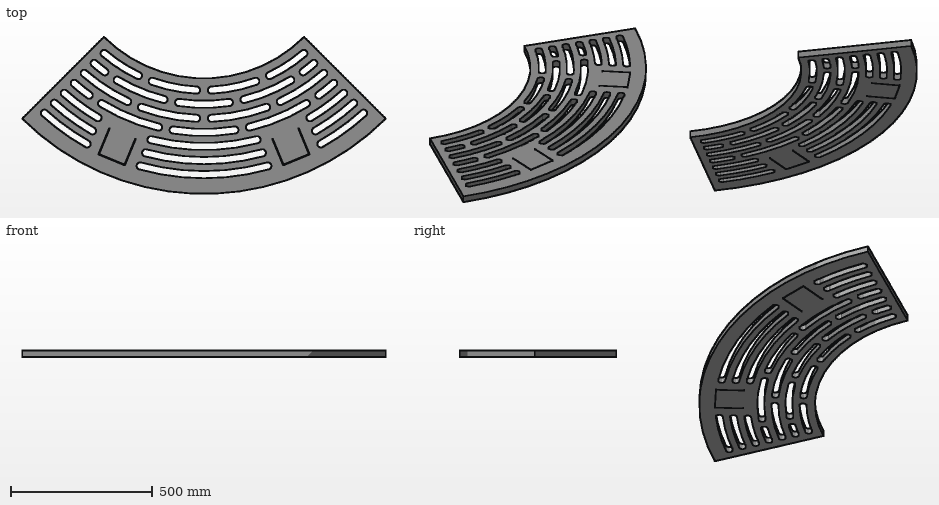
import cadquery as cq
import math

outer_width = 1287.0
thickness = 25.0
half_sector = 45.0
outer_radius = outer_width / 2 / math.sin(math.radians(half_sector))
inner_radius = 500.0

row_count = 7
first_row_radius = 543.0
last_row_radius = 842.0
row_pitch = (last_row_radius - first_row_radius) / (row_count - 1)
slot_width = 25.0
edge_margin = 30.0
web_width = 28.0
web_pitch = half_sector / 2

pad_gap = 179.0
pad_size = 100.0
slit_width = 1.0
pad_angle = half_sector / 2
first_pad_row = 4

pad_outer_radius = last_row_radius + slot_width / 2


def polar(radius, angle):
    """Point at an angle in degrees, measured from -Y and positive toward +X."""
    turn = math.radians(angle)
    return (radius * math.sin(turn), -radius * math.cos(turn))


def make_plate():
    return (
        cq.Workplane("XY")
        .moveTo(*polar(outer_radius, -half_sector))
        .threePointArc(polar(outer_radius, 0), polar(outer_radius, half_sector))
        .lineTo(*polar(inner_radius, half_sector))
        .threePointArc(polar(inner_radius, 0), polar(inner_radius, -half_sector))
        .close()
        .extrude(thickness)
    )


def make_slot(radius, start, end):
    """Slot along an arc; start and end are the angles of its end-round centres."""
    inner = radius - slot_width / 2
    outer = radius + slot_width / 2
    middle = (start + end) / 2
    overhang = math.degrees(slot_width / 2 / radius)
    return (
        cq.Workplane("XY")
        .moveTo(*polar(outer, start))
        .threePointArc(polar(outer, middle), polar(outer, end))
        .threePointArc(polar(radius, end + overhang), polar(inner, end))
        .threePointArc(polar(inner, middle), polar(inner, start))
        .threePointArc(polar(radius, start - overhang), polar(outer, start))
        .close()
        .extrude(thickness)
    )


def row_webs(row):
    """Angles of the solid webs in a row, and the width of each web."""
    if row >= first_pad_row:
        return [-pad_angle, pad_angle], pad_gap
    if row % 2 == 0:
        return [-web_pitch, 0, web_pitch], web_width
    staggered_steps = (-1.5, -0.5, 0.5, 1.5)
    return [web_pitch * step for step in staggered_steps], web_width


def make_row(row):
    radius = first_row_radius + row * row_pitch
    webs, width = row_webs(row)
    end_inset = math.degrees(math.asin((edge_margin + slot_width / 2) / radius))
    web_inset = math.degrees(math.asin((width + slot_width) / 2 / radius))
    starts = [-half_sector + end_inset] + [web + web_inset for web in webs]
    ends = [web - web_inset for web in webs] + [half_sector - end_inset]
    slots = cq.Workplane("XY")
    for start, end in zip(starts, ends):
        slots = slots.add(make_slot(radius, start, end))
    return slots.combine()


def make_pad_slit(angle):
    """U-shaped through slit along the outer side and both flanks of a pad."""
    inner_side = -pad_outer_radius + pad_size
    corner = pad_size / 2
    tab_corner = corner - slit_width
    tab_outer = -pad_outer_radius + slit_width
    return (
        cq.Workplane("XY")
        .moveTo(-corner, inner_side)
        .lineTo(-corner, -pad_outer_radius)
        .lineTo(corner, -pad_outer_radius)
        .lineTo(corner, inner_side)
        .lineTo(tab_corner, inner_side)
        .lineTo(tab_corner, tab_outer)
        .lineTo(-tab_corner, tab_outer)
        .lineTo(-tab_corner, inner_side)
        .close()
        .extrude(thickness)
        .rotate((0, 0, 0), (0, 0, 1), angle)
    )


result = make_plate()
for row in range(row_count):
    result = result.cut(make_row(row))
for angle in (-pad_angle, pad_angle):
    result = result.cut(make_pad_slit(angle))